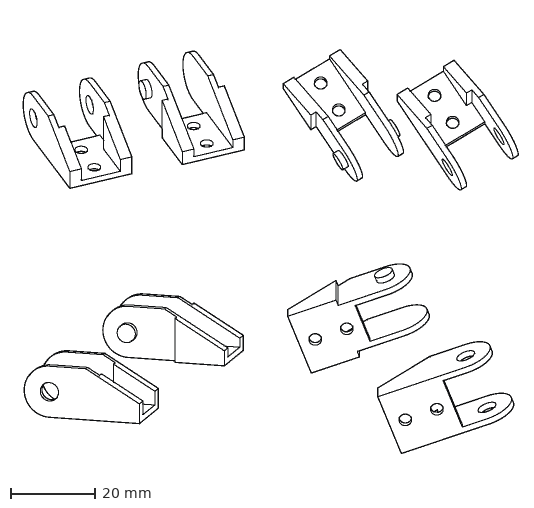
import cadquery as cq
import math

arm_height = 12.5
arm_radius = arm_height / 2
arm_thickness = 1.5
flat_top_end = 15.25
slope_angle = 30.0
pad_start = 18.25
pad_thickness = 1.5
pivot_diameter = 4.5
stub_length = 1.5

base_length = 16.0
base_thickness = 1.5
screw_diameter = 3.0
screw_spacing = 8.0
screw_edge_distance = 4.0

overall_width = 16.0
narrow_width = overall_width - 2 * pad_thickness
clear_width = narrow_width - 2 * arm_thickness

holed_leaf_length = 28.5
pinned_leaf_length = 30.5

pinned_leaf_offset = (12.25, 22.93, 9.67)


def arm(length, y_start, thickness):
    """Upright arm with a round nose and a sloping tail, growing toward +Y from y_start."""
    tail_height = arm_height - (length - flat_top_end) * math.tan(math.radians(slope_angle))
    return (
        cq.Workplane("XZ", origin=(0, y_start, 0))
        .moveTo(arm_radius, 0)
        .lineTo(length, 0)
        .lineTo(length, tail_height)
        .lineTo(flat_top_end, arm_height)
        .lineTo(arm_radius, arm_height)
        .threePointArc((0, arm_radius), (arm_radius, 0))
        .close()
        .extrude(-thickness)
    )


def pad(length, y_start):
    """Thickening of the arm's tail, cut from the arm outline behind pad_start."""
    tail = cq.Workplane("XY").box(
        length - pad_start, pad_thickness, arm_height, centered=False
    ).translate((pad_start, y_start, 0))
    return arm(length, y_start, pad_thickness).intersect(tail)


def base_plate(length, width):
    """Floor between the arms, flush with the tail end."""
    plate = cq.Workplane("XY").box(
        base_length, width, base_thickness, centered=(False, True, False)
    ).translate((length - base_length, 0, 0))
    last_screw = length - screw_edge_distance
    screws = (
        cq.Workplane("XY")
        .pushPoints([(last_screw - screw_spacing, 0), (last_screw, 0)])
        .circle(screw_diameter / 2)
        .extrude(base_thickness)
    )
    return plate.cut(screws)


def leaf(length, arm_inner_width, pad_inner_width):
    """Base plate with a mirrored pair of padded arms."""
    arm_y = arm_inner_width / 2
    pad_y = pad_inner_width / 2
    side = arm(length, arm_y, arm_thickness).union(pad(length, pad_y))
    body = base_plate(length, arm_inner_width)
    return body.union(side).union(side.mirror("XZ"))


def pivot_cylinder(y_start, length):
    """Cylinder on the pivot axis, growing toward +Y from y_start."""
    return (
        cq.Workplane("XZ", origin=(arm_radius, y_start, arm_radius))
        .circle(pivot_diameter / 2)
        .extrude(-length)
    )


def make_holed_leaf():
    """Leaf with wide-set arms, inner pads and pivot holes."""
    body = leaf(holed_leaf_length, narrow_width, clear_width)
    return body.cut(pivot_cylinder(-overall_width / 2, overall_width))


def make_pinned_leaf():
    """Leaf with close-set arms, outer pads and a pivot stub on each arm's outer face."""
    body = leaf(pinned_leaf_length, clear_width, narrow_width)
    stub = pivot_cylinder(narrow_width / 2, stub_length)
    return body.union(stub).union(stub.mirror("XZ"))


holed_leaf = make_holed_leaf()
pinned_leaf = make_pinned_leaf().translate(pinned_leaf_offset)

result = cq.Compound.makeCompound([holed_leaf.solids().val(), pinned_leaf.solids().val()])